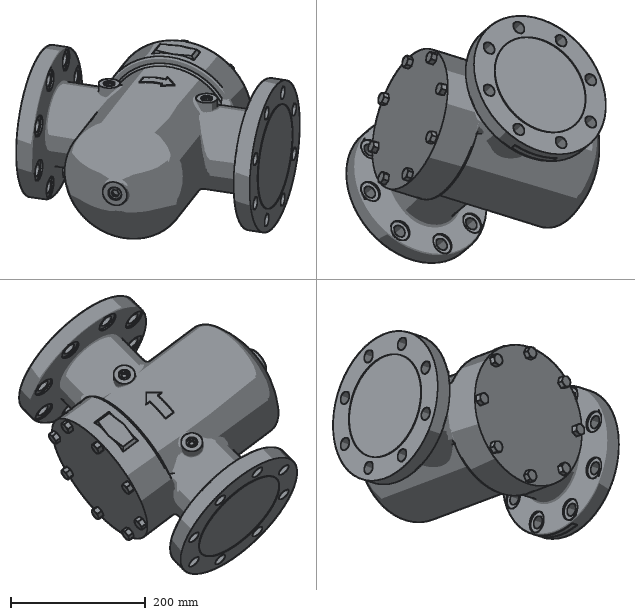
import cadquery as cq
import math

body_radius = 95.25
head_radius = 108.3
head_top_y = 114.3
head_bottom_y = 53.6
head_rounding = 3.2
neck_fillet = 3.2
body_end_y = -144.7
knuckle_radius = 20.0
knuckle_angle = math.radians(55)

face_to_face = 368.3
pipe_radius = 63.5
pipe_fillet = 6.0
junction_fillet = 8.0
flange_radius = 114.3
raised_face_radius = 78.6
raised_face_height = 1.1
flange_rim_inner_x = 157.0
flange_hub_inner_x = 155.5
flange_rounding = 3.0
flange_hole_count = 8
flange_hole_diameter = 19.05
flange_hole_circle_radius = 95.25
spotface_diameter = 32.0
spotface_x = 159.0

strip_height = 0.78
strip_start_x = -171.0
strip_length = 10.0
strip_width = 72.0

bolt_count = 8
bolt_circle_radius = 97.0
bolt_head_height = 8.9
bolt_head_flats = 16.0
bolt_head_bevel = 1.0

port_x = 76.4
port_top_z = 79.0
port_radius = 15.9
port_fillet = 3.0
port_root_top_z = 72.0
port_recess_radius = 8.5
port_socket_flats = 8.6
drain_end_y = -195.98
drain_radius = 19.05
drain_fillet = 3.0
drain_root_limit_y = -175.0
drain_recess_radius = 10.5
drain_socket_flats = 10.6
plug_recess_depth = 1.5
plug_recess_slope = 1.0
socket_depth = 5.0

pad_length = 67.0
pad_width = 30.2
pad_center_y = 82.2
pad_base_z = 102.4
pad_top_rise = 0.2
pad_top_z = head_radius + pad_top_rise
pad_end_inset = 5.0
pad_side_inset = 4.0

arrow_half_length = 26.2
arrow_neck_x = 9.5
arrow_shaft_half_width = 8.0
arrow_head_half_width = 15.4
arrow_height = 1.5

HEX_CORNER_RATIO = 2 / math.sqrt(3)


def circle_point(center, radius, angle):
    """Point on a circle, with the angle in radians from the first axis."""
    return (center[0] + radius * math.cos(angle), center[1] + radius * math.sin(angle))


def turn_about_y(profile):
    """Close a half profile and turn it into a solid."""
    return profile.close().revolve(360, (0, 0, 0), (0, 1, 0))


def make_vessel():
    """Head, cylindrical body, knuckle and domed end as one turned solid."""
    rounding_center = (head_radius - head_rounding, head_bottom_y + head_rounding)
    rounding_middle = circle_point(rounding_center, head_rounding, -math.pi / 4)

    knuckle_center = (body_radius - knuckle_radius, body_end_y)
    knuckle_middle = circle_point(knuckle_center, knuckle_radius, -knuckle_angle / 2)
    dome_start = circle_point(knuckle_center, knuckle_radius, -knuckle_angle)

    dome_radius = dome_start[0] / math.cos(knuckle_angle)
    dome_center = (0, dome_start[1] + dome_radius * math.sin(knuckle_angle))
    dome_middle = circle_point(dome_center, dome_radius, -(knuckle_angle + math.pi / 2) / 2)
    dome_tip = (0, dome_center[1] - dome_radius)

    profile = (
        cq.Workplane("XY")
        .moveTo(0, head_top_y)
        .lineTo(head_radius, head_top_y)
        .lineTo(head_radius, rounding_center[1])
        .threePointArc(rounding_middle, (rounding_center[0], head_bottom_y))
        .lineTo(body_radius, head_bottom_y)
        .lineTo(body_radius, body_end_y)
        .threePointArc(knuckle_middle, dome_start)
        .threePointArc(dome_middle, dome_tip)
    )
    return turn_about_y(profile)


def make_neck_ring():
    """Concave fillet ring in the corner between the head and the body."""
    center = (body_radius + neck_fillet, head_bottom_y - neck_fillet)
    middle = circle_point(center, neck_fillet, 3 * math.pi / 4)
    profile = (
        cq.Workplane("XY")
        .moveTo(body_radius - neck_fillet, head_bottom_y + neck_fillet)
        .lineTo(center[0], head_bottom_y + neck_fillet)
        .lineTo(center[0], head_bottom_y)
        .threePointArc(middle, (body_radius, center[1]))
        .lineTo(body_radius - neck_fillet, center[1])
    )
    return turn_about_y(profile)


def make_pipe_body():
    """Vessel crossed by the through pipe, with the junctions rounded."""
    pipe = cq.Workplane("YZ").circle(pipe_radius).extrude(flange_hub_inner_x, both=True)
    crossed = make_vessel().union(pipe)
    half_box = pipe_radius + junction_fillet
    outer_x = head_radius + junction_fillet
    inner_x = body_radius / 2
    junctions = cq.selectors.BoxSelector(
        (-outer_x, -half_box, -half_box), (-inner_x, half_box, half_box)
    ) + cq.selectors.BoxSelector((inner_x, -half_box, -half_box), (outer_x, half_box, half_box))
    return crossed.edges(junctions).fillet(junction_fillet).union(make_neck_ring())


def make_flange():
    """Outlet flange: raised face, tapered back, bolt holes and spotfaces."""
    face_x = face_to_face / 2
    rim_face_x = face_x - raised_face_height
    fillet_start = (flange_hub_inner_x - pipe_fillet, pipe_radius)
    fillet_end = (flange_hub_inner_x, pipe_radius + pipe_fillet)
    fillet_middle = circle_point((fillet_start[0], fillet_end[1]), pipe_fillet, -math.pi / 4)
    rounding_center = (flange_rim_inner_x + flange_rounding, flange_radius - flange_rounding)
    rounding_middle = circle_point(rounding_center, flange_rounding, 3 * math.pi / 4)
    flange = (
        cq.Workplane("XY")
        .moveTo(fillet_start[0], 0)
        .lineTo(*fillet_start)
        .threePointArc(fillet_middle, fillet_end)
        .lineTo(flange_rim_inner_x, rounding_center[1])
        .threePointArc(rounding_middle, (rounding_center[0], flange_radius))
        .lineTo(rim_face_x, flange_radius)
        .lineTo(rim_face_x, raised_face_radius)
        .lineTo(face_x, raised_face_radius)
        .lineTo(face_x, 0)
        .close()
        .revolve(360, (0, 0, 0), (1, 0, 0))
    )
    half_pitch = 180 / flange_hole_count
    hole_places = cq.Workplane("YZ", origin=(spotface_x, 0, 0)).polarArray(
        flange_hole_circle_radius, half_pitch, 360, flange_hole_count
    )
    holes = hole_places.circle(flange_hole_diameter / 2).extrude(face_x - spotface_x)
    spotfaces = hole_places.circle(spotface_diameter / 2).extrude(flange_hub_inner_x - spotface_x)
    return flange.cut(holes).cut(spotfaces)


def make_marking_strip():
    """Thin curved strip standing proud of the inlet flange rim at its lowest point."""
    band = (
        cq.Workplane("YZ", origin=(strip_start_x, 0, 0))
        .circle(flange_radius + strip_height)
        .circle(flange_radius - strip_height)
        .extrude(strip_length)
    )
    lower_block = cq.Workplane("XY").box(face_to_face, strip_width, 2 * flange_radius).translate(
        (0, 0, -flange_radius)
    )
    return band.intersect(lower_block)


def make_cover_bolts():
    """Hexagon heads, each turned with its place on the bolt circle."""
    corner_diameter = bolt_head_flats * HEX_CORNER_RATIO
    root_y = head_top_y - bolt_head_bevel
    height = bolt_head_height + bolt_head_bevel
    hexagon = cq.Workplane("XZ", origin=(0, root_y, 0)).polygon(6, corner_diameter).extrude(-height)
    bevel_blank = (
        cq.Workplane("XZ", origin=(0, root_y, 0))
        .circle(corner_diameter / 2)
        .extrude(-height)
        .faces(">Y")
        .chamfer(bolt_head_bevel)
    )
    head = hexagon.intersect(bevel_blank).translate((0, 0, bolt_circle_radius))
    bolts = cq.Workplane("XY")
    for index in range(bolt_count):
        bolts = bolts.add(head.rotate((0, 0, 0), (0, 1, 0), index * 360 / bolt_count))
    return bolts.combine()


def cut_plug(body, face_plane, recess_radius, socket_flats):
    """Cut the tapered plug seat, leaving the plug end with its hexagon socket."""
    seat_floor_radius = recess_radius - plug_recess_slope
    seat = (
        face_plane.circle(recess_radius)
        .workplane(offset=-plug_recess_depth)
        .circle(seat_floor_radius)
        .loft()
    )
    corner_diameter = socket_flats * HEX_CORNER_RATIO
    socket = face_plane.polygon(6, corner_diameter).extrude(-plug_recess_depth - socket_depth)
    return body.cut(seat).cut(socket)


def add_port(body, center_x):
    """Plugged boss standing on the junction of pipe and vessel."""
    face_plane = cq.Workplane("XY", origin=(center_x, 0, port_top_z))
    boss = face_plane.circle(port_radius).extrude(-port_top_z)
    reach = port_radius + port_fillet
    root_edges = cq.selectors.BoxSelector(
        (center_x - reach, -reach, port_top_z / 2),
        (center_x + reach, reach, port_root_top_z),
    )
    body = body.union(boss).edges(root_edges).fillet(port_fillet)
    return cut_plug(body, face_plane, port_recess_radius, port_socket_flats)


def add_drain(body):
    """Plugged drain boss on the tip of the dome."""
    face_plane = cq.Workplane("XZ", origin=(0, drain_end_y, 0))
    boss = face_plane.circle(drain_radius).extrude(drain_end_y - body_end_y)
    root_edges = cq.selectors.BoxSelector(
        (-drain_radius, drain_end_y + drain_fillet, -drain_radius),
        (drain_radius, drain_root_limit_y, drain_radius),
    )
    body = body.union(boss).edges(root_edges).fillet(drain_fillet)
    return cut_plug(body, face_plane, drain_recess_radius, drain_socket_flats)


def make_nameplate_pad():
    """Flat pad with sloping sides that meet the head where the head is highest."""
    half_length = pad_length / 2
    half_width = pad_width / 2

    def six_sided(plane, end_inset, side_inset):
        end_x = half_length - end_inset
        end_y = half_width - side_inset
        return plane.polyline(
            [
                (-end_x, -end_y),
                (0, -half_width),
                (end_x, -end_y),
                (end_x, end_y),
                (0, half_width),
                (-end_x, end_y),
            ]
        ).close()

    base = cq.Workplane("XY", origin=(0, pad_center_y, pad_base_z))
    top = six_sided(base, 0, 0).workplane(offset=pad_top_z - pad_base_z)
    return six_sided(top, pad_end_inset, pad_side_inset).loft(ruled=True)


def make_flow_arrow():
    """Raised arrow that follows the curve of the body."""
    prism = (
        cq.Workplane("XY")
        .polyline(
            [
                (-arrow_half_length, -arrow_shaft_half_width),
                (arrow_neck_x, -arrow_shaft_half_width),
                (arrow_neck_x, -arrow_head_half_width),
                (arrow_half_length, 0),
                (arrow_neck_x, arrow_head_half_width),
                (arrow_neck_x, arrow_shaft_half_width),
                (-arrow_half_length, arrow_shaft_half_width),
            ]
        )
        .close()
        .extrude(2 * body_radius)
    )
    shell = (
        cq.Workplane("XZ")
        .circle(body_radius + arrow_height)
        .circle(body_radius - arrow_height)
        .extrude(arrow_head_half_width, both=True)
    )
    return prism.intersect(shell)


def make_strainer():
    """Whole strainer as one solid."""
    body = make_pipe_body()
    for center_x in (-port_x, port_x):
        body = add_port(body, center_x)
    body = add_drain(body)

    outlet_flange = make_flange()
    body = body.union(outlet_flange).union(outlet_flange.mirror("YZ"))
    body = body.union(make_marking_strip()).union(make_cover_bolts())
    return body.union(make_nameplate_pad()).union(make_flow_arrow())


result = make_strainer()